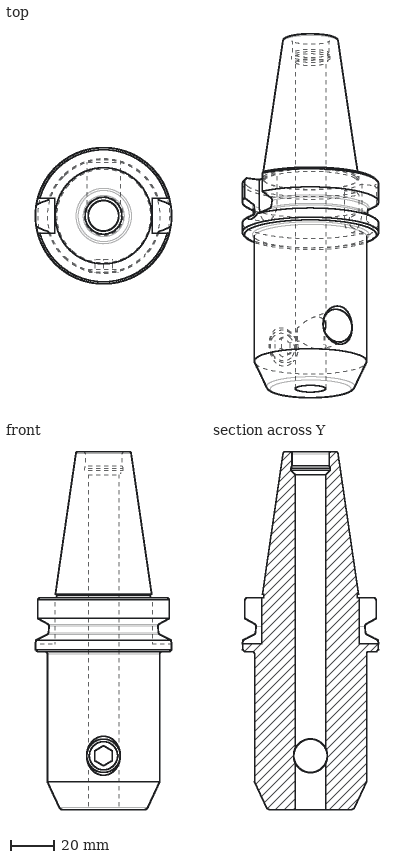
import cadquery as cq
import math


taper_length = 65.4
taper_ratio = 7 / 24
gauge_radius = 44.45 / 2
taper_top_radius = gauge_radius - taper_length * taper_ratio / 2
taper_top_fillet = 1.0
gauge_land = 0.4
neck_radius = gauge_radius - 0.6
neck_bevel = 0.4
neck_fillet = 0.5

flange_radius = 63 / 2
flange_top = -2.0
flange_bottom = -27.0
flange_chamfer = 1.0
groove_center = -16.6
groove_floor_radius = 53 / 2
groove_half_width = 5.0
groove_flank_angle = 30
groove_fillet = 1.0
groove_flank_height = (flange_radius - groove_floor_radius) * math.tan(math.radians(groove_flank_angle))

body_radius = 52 / 2
body_fillet = 1.0
nose_bottom = -100.0
cone_length = 13.0
cone_angle = 25
nose_radius = body_radius - cone_length * math.tan(math.radians(cone_angle))
nose_fillet = 2.0

bore_radius = 14 / 2
counterbore_radius = 17 / 2
counterbore_depth = 6.5
bore_mouth_fillet = 1.0
relief_radius = 9.0
relief_flare = 1.2
relief_length = 2.2

slot_width = 16.1
slot_bottom = -23.2
slot_floor = 22.6
slot_overshoot = 1.0

screw_height = -75.0
screw_radius = 15.4 / 2
screw_chamfer = 1.2
hole_edge_radius = 9.0
hole_overshoot = 1.0
hex_flats = 8.0
hex_depth = 6.0


def make_body():
    """Turned outline of the holder, without its bore."""
    groove_top = groove_center + groove_half_width
    groove_base = groove_center - groove_half_width
    profile = (
        cq.Workplane("XZ")
        .moveTo(0, taper_length)
        .lineTo(taper_top_radius, taper_length)
        .lineTo(gauge_radius, 0)
        .lineTo(gauge_radius, -gauge_land)
        .lineTo(neck_radius, -gauge_land - neck_bevel)
        .lineTo(neck_radius, flange_top + neck_fillet)
        .radiusArc((neck_radius + neck_fillet, flange_top), -neck_fillet)
        .lineTo(flange_radius - flange_chamfer, flange_top)
        .lineTo(flange_radius, flange_top - flange_chamfer)
        .lineTo(flange_radius, groove_top)
        .lineTo(groove_floor_radius, groove_top - groove_flank_height)
        .lineTo(groove_floor_radius, groove_base + groove_flank_height)
        .lineTo(flange_radius, groove_base)
        .lineTo(flange_radius, flange_bottom + flange_chamfer)
        .lineTo(flange_radius - flange_chamfer, flange_bottom)
        .lineTo(body_radius + body_fillet, flange_bottom)
        .radiusArc((body_radius, flange_bottom - body_fillet), -body_fillet)
        .lineTo(body_radius, nose_bottom + cone_length)
        .lineTo(nose_radius, nose_bottom)
        .lineTo(0, nose_bottom)
        .close()
    )
    body = profile.revolve(360, (0, 0, 0), (0, 1, 0))
    body = body.faces("<Z").edges().fillet(nose_fillet)
    body = body.faces(">Z").edges().fillet(taper_top_fillet)
    groove_corners = body.edges("%CIRCLE").filter(
        lambda edge: math.isclose(edge.radius(), groove_floor_radius)
    )
    return groove_corners.fillet(groove_fillet)


def make_bore():
    """Through bore, with a rounded counterbore and a relief groove at the taper end."""
    counterbore_floor = taper_length - counterbore_depth
    relief_floor = counterbore_floor - relief_length
    return (
        cq.Workplane("XZ")
        .moveTo(0, taper_length)
        .lineTo(counterbore_radius + bore_mouth_fillet, taper_length)
        .radiusArc((counterbore_radius, taper_length - bore_mouth_fillet), -bore_mouth_fillet)
        .lineTo(counterbore_radius, counterbore_floor)
        .lineTo(relief_radius, counterbore_floor - relief_flare)
        .lineTo(relief_radius, relief_floor)
        .lineTo(bore_radius, relief_floor - (relief_radius - bore_radius))
        .lineTo(bore_radius, nose_bottom)
        .lineTo(0, nose_bottom)
        .close()
        .revolve(360, (0, 0, 0), (0, 1, 0))
    )


def make_drive_slot(side):
    """Round-ended slot through the flange, on the +X (side 1) or -X (side -1) side."""
    end_center = slot_bottom + slot_width / 2
    return (
        cq.Workplane("YZ", origin=(side * slot_floor, 0, 0))
        .moveTo(-slot_width / 2, 0)
        .lineTo(-slot_width / 2, end_center)
        .threePointArc((0, slot_bottom), (slot_width / 2, end_center))
        .lineTo(slot_width / 2, 0)
        .close()
        .extrude(side * (flange_radius - slot_floor + slot_overshoot))
    )


def make_cross_hole():
    """Screw hole through both walls, with a 45 degree countersink at each mouth."""
    sink_start = body_radius - (hole_edge_radius - screw_radius)
    reach = body_radius + hole_overshoot
    return (
        cq.Workplane("XY", origin=(0, 0, screw_height))
        .moveTo(0, -reach)
        .lineTo(hole_edge_radius + hole_overshoot, -reach)
        .lineTo(screw_radius, -sink_start)
        .lineTo(screw_radius, sink_start)
        .lineTo(hole_edge_radius + hole_overshoot, reach)
        .lineTo(0, reach)
        .close()
        .revolve(360, (0, 0, 0), (0, 1, 0))
    )


def make_screw():
    """Hexagon socket screw on the -Y side, its head level with the body."""
    screw = (
        cq.Workplane("XZ", origin=(0, -body_radius, screw_height))
        .circle(screw_radius)
        .extrude(-body_radius)
        .faces("<Y")
        .chamfer(screw_chamfer)
    )
    hex_corners = hex_flats / math.cos(math.pi / 6)
    socket = (
        cq.Workplane("XZ", origin=(0, -body_radius, screw_height))
        .polygon(6, hex_corners)
        .extrude(-hex_depth)
        .rotate((0, 0, screw_height), (0, 1, screw_height), 90)
    )
    return screw.cut(socket)


holder = make_body().cut(make_cross_hole()).union(make_screw()).cut(make_bore())
for slot_side in (-1, 1):
    holder = holder.cut(make_drive_slot(slot_side))
result = holder